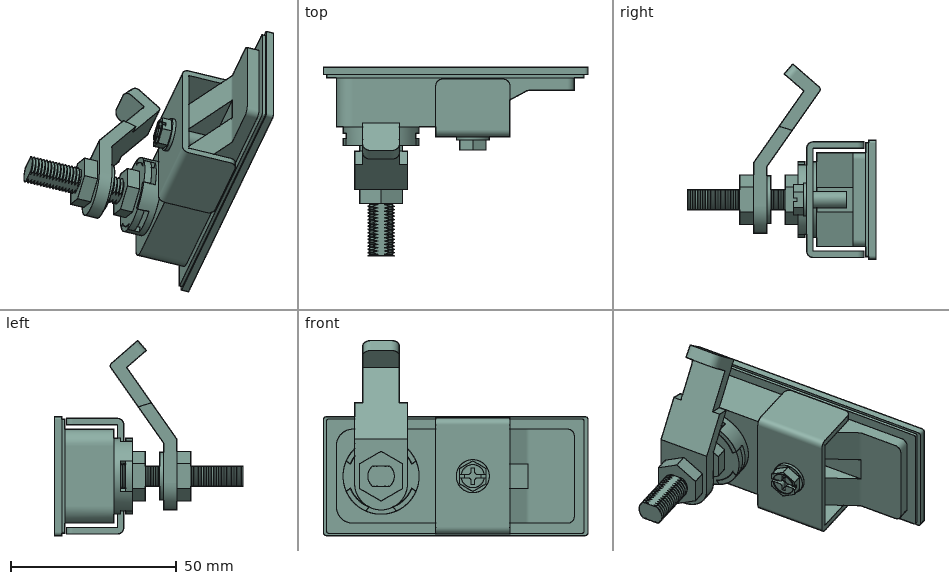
import cadquery as cq
import math


plate_length = 80.0
plate_height = 36.0
plate_thickness = 2.25
plate_corner = 1.0
rim_left_inset = 1.0
rim_right_inset = 1.25
rim_height_inset = 0.75
rim_corner = 0.6
rim_depth = 3.2

housing_left = -plate_length / 2 + 3.95
housing_right = plate_length / 2 - 4.2
housing_height = 28.4
housing_left_corner = 5.0
housing_right_corner = 2.0
housing_depth = 18.0
paddle_depth = 7.0
slope_end_x = 21.8
slope_angle = 28.0
slope_blend = 2.0

clamp_x = 5.15
clamp_width = 22.4
clamp_height = 35.0
clamp_thickness = 2.0
clamp_leg_start = 3.6
clamp_depth = 21.0
clamp_bend = 2.0
clamp_leg_corner = 2.0
screw_flange_diameter = 10.0
screw_flange_thickness = 1.0
screw_head_across_flats = 8.0
screw_head_height = 3.0
screw_shank_diameter = 5.0
screw_shank_end = 9.0
head_dish_diameter = 7.0
head_dish_depth = 0.3
cross_span = 5.0
cross_width = 1.0
cross_depth = 1.8
cross_corner = 1.0
slot_depth = 0.8

nut_slot_height = 7.4
nut_slot_right = slope_end_x + 0.05
nut_slot_floor = paddle_depth
nut_slot_left = clamp_x - nut_slot_height / 2

shaft_x = -22.55
sleeve_diameter = 23.0
sleeve_end = 23.65
tab_count = 4
tab_slot_floor = 20.0
tab_washer_diameter = 20.0
tab_washer_start = 21.5
tab_root_half_width = 3.7
tab_flare_angle = 36.0
tab_clearance = 0.1

nut_across_flats = 13.0
inner_nut_end = 27.5
washer_diameter = 14.5
washer_start = 31.8
cam_start = 33.0
cam_thickness = 4.0
outer_nut_end = 41.2
stud_end = 57.0
thread_diameter = 8.0
thread_root_diameter = 6.4
thread_pitch = 1.0
stud_across_flats = 6.1

cam_width = 16.0
cam_arm_width = 11.1
cam_round_drop = 2.2
cam_bend_z = 11.2
cam_lean = 35.0
cam_shoulder_length = 13.4
cam_arm_length = 26.4
cam_tip_angle = 49.0
cam_tip_length = 7.86
cam_tip_corner = 2.5
cam_bend_round = 1.0


def at_depth(depth, x=0.0):
    """Sketch plane facing -Y at a depth; extruding goes deeper."""
    return cq.Workplane("XZ", origin=(x, -depth, 0))


def disc(x, diameter, start, end):
    return at_depth(start, x).circle(diameter / 2).extrude(end - start)


def hexagon(x, across_flats, start, end):
    """Hexagonal prism with corners pointing up and down."""
    blank = at_depth(start, x).polygon(6, across_flats / math.cos(math.radians(30))).extrude(end - start)
    return blank.rotate((x, 0, 0), (x, 1, 0), 30)


def make_plate():
    plate = at_depth(0).rect(plate_length, plate_height).extrude(plate_thickness)
    plate = plate.edges("|Y").fillet(plate_corner)
    rim_length = plate_length - rim_left_inset - rim_right_inset
    rim_x = (rim_left_inset - rim_right_inset) / 2
    rim = at_depth(0, rim_x).rect(rim_length, plate_height - 2 * rim_height_inset).extrude(rim_depth)
    return plate.union(rim.edges("|Y").fillet(rim_corner))


def make_housing_block():
    """Deep on the left, sloping up to the shallow paddle on the right."""
    slope_run = (housing_depth - paddle_depth) / math.tan(math.radians(slope_angle))
    block = (
        cq.Workplane("XY", origin=(0, 0, -housing_height / 2))
        .moveTo(housing_left, -rim_depth)
        .lineTo(housing_left, -housing_depth)
        .lineTo(slope_end_x - slope_run, -housing_depth)
        .lineTo(slope_end_x, -paddle_depth)
        .lineTo(housing_right, -paddle_depth)
        .lineTo(housing_right, -rim_depth)
        .close()
        .extrude(housing_height)
    )
    block = block.edges("|Y and <X").fillet(housing_left_corner)
    block = block.edges("|Y and >X").fillet(housing_right_corner)
    slope_foot = cq.selectors.NearestToPointSelector((slope_end_x, -paddle_depth, 0))
    block = block.edges("|Z").edges(slope_foot).fillet(slope_blend)
    nut_slot = (
        at_depth(nut_slot_floor, (nut_slot_left + nut_slot_right) / 2)
        .rect(nut_slot_right - nut_slot_left, nut_slot_height)
        .extrude(housing_depth - nut_slot_floor)
    )
    return block.cut(nut_slot)


def make_tabbed_disc(start, end, clearance=0.0):
    """Disc with outward-flaring tabs reaching the sleeve's outside, narrower by a side clearance."""
    disc_diameter = tab_washer_diameter - 2 * clearance
    root_half_width = tab_root_half_width - clearance
    root_x = math.sqrt((disc_diameter / 2) ** 2 - root_half_width**2)
    outer_x = sleeve_diameter / 2
    outer_half_width = root_half_width + (outer_x - root_x) * math.tan(math.radians(tab_flare_angle))
    tabs = disc(shaft_x, disc_diameter, start, end)
    for index in range(tab_count):
        tab = (
            at_depth(start, shaft_x)
            .polyline(
                [
                    (0, root_half_width),
                    (root_x, root_half_width),
                    (outer_x, outer_half_width),
                    (outer_x, -outer_half_width),
                    (root_x, -root_half_width),
                    (0, -root_half_width),
                ]
            )
            .close()
            .extrude(end - start)
        )
        tabs = tabs.union(tab.rotate((shaft_x, 0, 0), (shaft_x, 1, 0), index * 360 / tab_count))
    return tabs.intersect(disc(shaft_x, sleeve_diameter, start, end))


def make_sleeve():
    """Sleeve whose tabbed recess, open to the front, leaves fingers around its rim."""
    sleeve = disc(shaft_x, sleeve_diameter, housing_depth, sleeve_end)
    return sleeve.cut(make_tabbed_disc(tab_slot_floor, sleeve_end))


def make_stud():
    """Stud with ring-shaped thread ridges, flattened above and below in front of the sleeve."""
    crest = thread_diameter / 2
    root = thread_root_diameter / 2
    ridge_count = math.floor((stud_end - tab_slot_floor) / thread_pitch)
    outline = [(0, -housing_depth), (root, -housing_depth)]
    for index in range(ridge_count, 0, -1):
        crest_depth = stud_end - index * thread_pitch
        outline.append((crest, -crest_depth))
        outline.append((root, -(crest_depth + thread_pitch / 2)))
    outline += [(crest, -stud_end), (0, -stud_end)]
    stud = cq.Workplane("XY").polyline(outline).close().revolve(360, (0, 0), (0, 1))
    stud = stud.translate((shaft_x, 0, 0))
    flattened = at_depth(sleeve_end, shaft_x).rect(thread_diameter, stud_across_flats)
    envelope = flattened.extrude(stud_end - sleeve_end)
    return stud.intersect(envelope.union(disc(shaft_x, thread_diameter, housing_depth, sleeve_end)))


def cam_side_profile():
    """Points (y, z) of the cam's front and back edges, bottom to top."""
    lean = math.radians(cam_lean)
    tip = math.radians(cam_tip_angle)
    half_bend = (lean + tip) / 2
    mitre_drop = cam_thickness * math.tan(lean / 2)
    up_y, up_z = math.sin(lean), math.cos(lean)
    bend = (-cam_start - cam_thickness, cam_bend_z)
    bend_back = (-cam_start, cam_bend_z - mitre_drop)
    shoulder = (bend[0] + cam_shoulder_length * up_y, bend[1] + cam_shoulder_length * up_z)
    shoulder_back = (shoulder[0] + cam_thickness, shoulder[1] - mitre_drop)
    crook = (bend[0] + cam_arm_length * up_y, bend[1] + cam_arm_length * up_z)
    mitre = cam_thickness / math.cos(half_bend)
    mitre_angle = (tip - lean) / 2
    crook_back = (crook[0] + mitre * math.cos(mitre_angle), crook[1] + mitre * math.sin(mitre_angle))
    tip_end = (crook[0] - cam_tip_length * math.sin(tip), crook[1] + cam_tip_length * math.cos(tip))
    tip_back = (
        tip_end[0] + cam_thickness * math.cos(tip),
        tip_end[1] + cam_thickness * math.sin(tip),
    )
    return bend, bend_back, shoulder, shoulder_back, crook, crook_back, tip_end, tip_back


def side_extrusion(points, width):
    return cq.Workplane("YZ", origin=(shaft_x, 0, 0)).polyline(points).close().extrude(width / 2, both=True)


def make_cam():
    bend, bend_back, shoulder, shoulder_back, crook, crook_back, tip_end, tip_back = cam_side_profile()
    foot = (
        at_depth(cam_start, shaft_x)
        .moveTo(-cam_width / 2, bend_back[1])
        .lineTo(-cam_width / 2, -cam_round_drop)
        .threePointArc((0, -cam_round_drop - cam_width / 2), (cam_width / 2, -cam_round_drop))
        .lineTo(cam_width / 2, bend_back[1])
        .close()
        .extrude(cam_thickness)
    )
    front_foot = (bend[0], bend_back[1])
    wide = side_extrusion([bend_back, front_foot, bend, shoulder, shoulder_back], cam_width)
    arm = side_extrusion([shoulder_back, shoulder, crook, tip_end, tip_back, crook_back], cam_arm_width)
    outer_bend = cq.selectors.NearestToPointSelector((shaft_x, *crook_back))
    arm = arm.edges("|X").edges(outer_bend).fillet(cam_bend_round)
    middle_y = (tip_end[0] + tip_back[0]) / 2
    middle_z = (tip_end[1] + tip_back[1]) / 2
    for side in (-1, 1):
        corner_point = (shaft_x + side * cam_arm_width / 2, middle_y, middle_z)
        corner = cq.selectors.NearestToPointSelector(corner_point)
        arm = arm.edges(corner).fillet(cam_tip_corner)
    return foot.union(wide).union(arm)


def make_latch():
    latch = make_plate().union(make_housing_block()).union(make_sleeve()).union(make_stud())
    latch = latch.union(make_tabbed_disc(tab_washer_start, sleeve_end, tab_clearance))
    latch = latch.union(hexagon(shaft_x, nut_across_flats, sleeve_end, inner_nut_end))
    latch = latch.union(disc(shaft_x, washer_diameter, washer_start, cam_start))
    latch = latch.union(make_cam())
    return latch.union(hexagon(shaft_x, nut_across_flats, cam_start + cam_thickness, outer_nut_end))


def make_screw():
    flange_end = clamp_depth + screw_flange_thickness
    head_end = flange_end + screw_head_height
    face = head_end - head_dish_depth
    screw = disc(clamp_x, screw_shank_diameter, screw_shank_end, clamp_depth)
    screw = screw.union(disc(clamp_x, screw_flange_diameter, clamp_depth, flange_end))
    screw = screw.union(hexagon(clamp_x, screw_head_across_flats, flange_end, head_end))
    screw = screw.cut(disc(clamp_x, head_dish_diameter, face, head_end))
    cross_start = at_depth(face - cross_depth, clamp_x)
    cross = cross_start.rect(cross_span, cross_width).extrude(cross_depth)
    cross = cross.union(cross_start.rect(cross_width, cross_span).extrude(cross_depth))
    inner_box = cq.selectors.BoxSelector(
        (clamp_x - cross_width, -head_end, -cross_width), (clamp_x + cross_width, 0, cross_width)
    )
    cross = cross.edges("|Y").edges(inner_box).fillet(cross_corner)
    slot = at_depth(face - slot_depth, clamp_x).rect(screw_head_across_flats, cross_width)
    return screw.cut(cross).cut(slot.extrude(slot_depth + head_dish_depth))


def make_clamp():
    """U-shaped strap over the housing, joined to its screw."""
    depth = clamp_depth - clamp_leg_start
    strap = at_depth(clamp_leg_start, clamp_x).rect(clamp_width, clamp_height).extrude(depth)
    strap = strap.edges("|X and <Y").fillet(clamp_bend)
    strap = strap.edges("|Z and >Y").fillet(clamp_leg_corner)
    inside = at_depth(clamp_leg_start, clamp_x).rect(clamp_width, clamp_height - 2 * clamp_thickness)
    return strap.cut(inside.extrude(depth - clamp_thickness)).union(make_screw())


latch = make_latch()
clamp = make_clamp()

result = cq.Compound.makeCompound([latch.val(), clamp.val()])